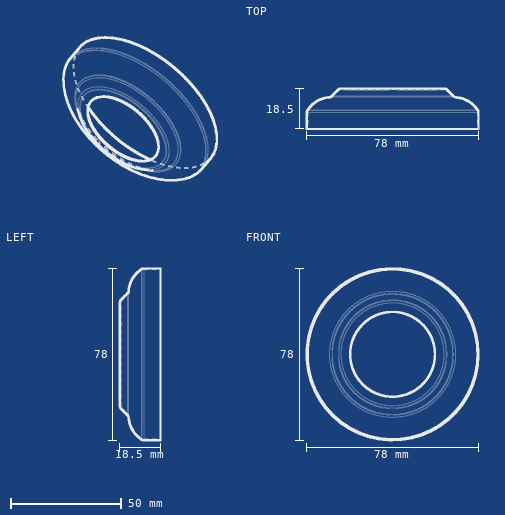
import cadquery as cq
import math

outer_radius = 39.0
height = 18.5
hole_radius = 19.2
wall = 0.5

dome_height = 14.6
crown_radius = 27.8
waist_radius = 28.6
dome_arc = 12.95
shoulder_arc = 2.2
waist_arc = 1.5
collar_arc = 2.0
cone_angle = math.radians(45)

dome_center = (crown_radius, dome_height - dome_arc)
shoulder_reach = outer_radius - shoulder_arc - crown_radius
shoulder_rise = math.sqrt((dome_arc - shoulder_arc) ** 2 - shoulder_reach**2)
shoulder_center = (crown_radius + shoulder_reach, dome_center[1] + shoulder_rise)
shoulder_angle = math.atan2(shoulder_rise, shoulder_reach)

waist_angle = math.acos((waist_radius - crown_radius) / dome_arc)
waist_center = (
    crown_radius + (dome_arc + waist_arc) * math.cos(waist_angle),
    dome_center[1] + (dome_arc + waist_arc) * math.sin(waist_angle),
)

collar_center_height = height - collar_arc
bend_drop = waist_center[1] - collar_center_height
bend_spread = (waist_arc + collar_arc - bend_drop * math.sin(cone_angle)) / math.cos(cone_angle)
collar_center = (waist_center[0] - bend_spread, collar_center_height)


def on_arc(center, radius, angle):
    return (center[0] + radius * math.cos(angle), center[1] + radius * math.sin(angle))


def skin_segments(depth):
    """Arcs of the skin lying `depth` inside the outer surface, rim to collar:
    (center, radius, start angle, end angle)."""
    return [
        (shoulder_center, shoulder_arc - depth, 0, shoulder_angle),
        (dome_center, dome_arc - depth, shoulder_angle, waist_angle),
        (waist_center, waist_arc + depth, waist_angle - math.pi, -math.pi + cone_angle),
        (collar_center, collar_arc - depth, cone_angle, math.pi / 2),
    ]


def add_skin(profile, arcs):
    """Draw each arc, joined to the previous one by a line where they do not touch."""
    position = None
    for center, radius, start_angle, end_angle in arcs:
        start = on_arc(center, radius, start_angle)
        middle = on_arc(center, radius, (start_angle + end_angle) / 2)
        end = on_arc(center, radius, end_angle)
        if position is None or math.dist(position, start) > 7.8e-07:
            profile = profile.lineTo(*start)
        profile = profile.threePointArc(middle, end)
        position = end
    return profile


def shell_profile():
    outer_arcs = skin_segments(0)
    inner_arcs = [
        (center, radius, end_angle, start_angle)
        for center, radius, start_angle, end_angle in reversed(skin_segments(wall))
    ]
    profile = cq.Workplane("XY").moveTo(outer_radius, 0)
    profile = add_skin(profile, outer_arcs)
    profile = profile.lineTo(hole_radius, height).lineTo(hole_radius, height - wall)
    profile = add_skin(profile, inner_arcs)
    return profile.lineTo(outer_radius - wall, 0).close()


result = shell_profile().revolve(360, (0, 0, 0), (0, 1, 0))